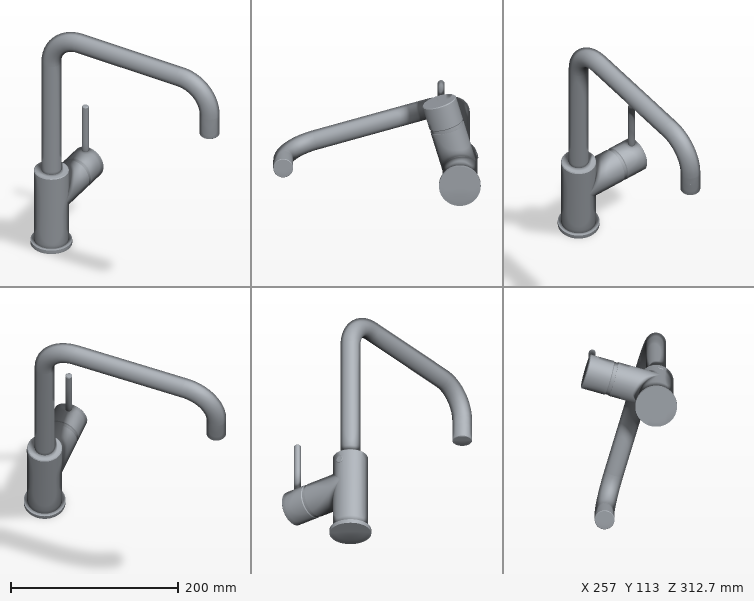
import cadquery as cq

total_height = 312.7

flange_radius = 25.0
flange_height = 5.0
column_radius = 21.0
column_top = 105.5
edge_chamfer = 1.0

branch_axis_height = 65.7
branch_end = 53.2
branch_fillet = 1.0
neck_step = 1.0

button_radius = 4.7
button_height = 93.2
button_face = 22.0
button_chamfer = 0.5

tube_radius = 12.0
bend_radius = 40.0
reach = 220.0
outlet_straight = 10.0

aerator_length = 18.0
aerator_chamfer = 0.5

handle_start = 57.5
handle_end = 88.0
lever_place = 79.7
lever_radius = 4.0
lever_top = 150.7

tube_axis_top = total_height - tube_radius
neck_radius = column_radius - neck_step
bend_height = tube_axis_top - bend_radius
outlet_height = bend_height - outlet_straight


def cylinder_along_y(radius, start, end):
    """Cylinder on the branch axis, reaching from Y = start to Y = end."""
    plane = cq.Plane(origin=(0, start, branch_axis_height), xDir=(1, 0, 0), normal=(0, 1, 0))
    return cq.Workplane(plane).circle(radius).extrude(end - start)


def cylinder_along_z(radius, x, y, bottom, top):
    """Upright cylinder reaching from Z = bottom to Z = top."""
    return cq.Workplane(origin=(x, y, bottom)).circle(radius).extrude(top - bottom)


def make_button():
    """Button that starts on the column axis and stands proud of the -X side."""
    plane = cq.Plane(origin=(0, 0, button_height), xDir=(0, 1, 0), normal=(-1, 0, 0))
    button = cq.Workplane(plane).circle(button_radius).extrude(button_face)
    return button.faces("<X").chamfer(button_chamfer)


def make_body():
    """Flange, column, side branch, neck and button in one piece."""
    flange = cylinder_along_z(flange_radius, 0, 0, 0, flange_height)
    column = cylinder_along_z(column_radius, 0, 0, 0, column_top)
    column = column.faces(">Z").chamfer(edge_chamfer)
    branch = cylinder_along_y(column_radius, 0, branch_end)
    neck = cylinder_along_y(neck_radius, 0, handle_start)
    tee = column.union(branch)
    tee = tee.edges("%ELLIPSE").fillet(branch_fillet)
    return tee.union(flange).union(neck).union(make_button())


def make_spout():
    """Tube that rises from the column, runs along +X and turns down to the outlet."""
    bend_offset = bend_radius * 0.5**0.5
    far_bend_start = reach - bend_radius
    path = (
        cq.Workplane("XZ")
        .moveTo(0, column_top)
        .lineTo(0, bend_height)
        .threePointArc(
            (bend_radius - bend_offset, bend_height + bend_offset),
            (bend_radius, tube_axis_top),
        )
        .lineTo(far_bend_start, tube_axis_top)
        .threePointArc(
            (far_bend_start + bend_offset, bend_height + bend_offset),
            (reach, bend_height),
        )
        .lineTo(reach, outlet_height)
    )
    return cq.Workplane(origin=(0, 0, column_top)).circle(tube_radius).sweep(path)


def make_aerator():
    """Cylinder flush with the tube, below its outlet."""
    bottom = outlet_height - aerator_length
    aerator = cylinder_along_z(tube_radius, reach, 0, bottom, outlet_height)
    return aerator.faces("<Z").chamfer(aerator_chamfer)


def make_handle():
    """Round cap at the end of the neck with its upright lever."""
    cap = cylinder_along_y(column_radius, handle_start, handle_end)
    cap = cap.faces("<Y or >Y").chamfer(edge_chamfer)
    lever = cylinder_along_z(lever_radius, 0, lever_place, branch_axis_height, lever_top)
    lever = lever.faces(">Z").chamfer(edge_chamfer)
    return cap.union(lever)


body = make_body()
spout = make_spout()
aerator = make_aerator()
handle = make_handle()

result = cq.Compound.makeCompound([body.val(), spout.val(), aerator.val(), handle.val()])